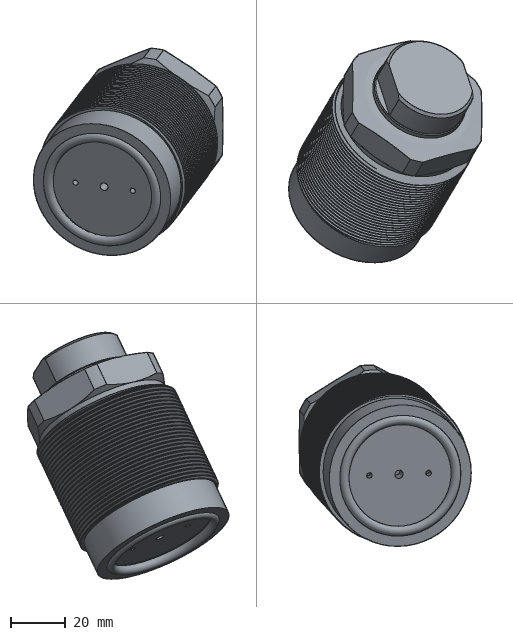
import cadquery as cq
import math


SHOULDER_Y = 12.0
THREAD_END_Y = 52.4
NUT_FRONT_Y = 54.4
NUT_REAR_Y = 66.4

NOSE_RADIUS = 26.35
NECK_RADIUS = 25.0
LEAD_ANGLE = 30.0

THREAD_RADIUS = 27.75
THREAD_PITCH = 1.5
THREAD_DEPTH = 1.0
THREAD_SHIFT = 0.114
FLANK_HALF_ANGLE = 30.0
CUTTER_OVERLAP = 0.05

HEX_ACROSS_FLATS = 50.0
HEX_CORNER_RADIUS = 27.55
HEX_REAR_RADIUS = 20.6
HEX_REAR_ANGLE = 15.0
HEX_FRONT_ANGLE = 30.0

RECESS_RADIUS = 20.2
RECESS_DEPTH = 2.5
RING_SEAT_RADIUS = 22.5
RING_SECTION_RADIUS = 1.765
RING_PROTRUSION = 1.27
RING_RADIUS = RING_SEAT_RADIUS - RING_SECTION_RADIUS
RING_CENTRE_Y = RING_SECTION_RADIUS - RING_PROTRUSION
RING_SEAT_DEPTH = RING_CENTRE_Y + RING_SECTION_RADIUS

CENTRE_HOLE_DIAMETER = 3.0
CENTRE_HOLE_DEPTH = 6.0
SIDE_HOLE_DIAMETER = 2.0
SIDE_HOLE_DEPTH = 4.0
SIDE_HOLE_OFFSET = 11.0

COLLAR_RADIUS = 17.75
COLLAR_LENGTH = 2.0
COLLAR_CHAMFER = 0.4
PLUG_RADIUS = 17.25
PLUG_LENGTH = 11.0
PLUG_CHAMFER = 1.0
PLUG_ACROSS_FLATS = 30.0
PLUG_TURN = 16.5


def slope(angle):
    return math.tan(math.radians(angle))


def turned(points, angle=360):
    """Solid of revolution about the Y axis from (radius, Y) points."""
    return cq.Workplane("XY").polyline(points).close().revolve(angle, (0, 0, 0), (0, 1, 0))


def cylinder(radius, start_y, end_y):
    return turned([(0, start_y), (radius, start_y), (radius, end_y), (0, end_y)])


def thread_groove_turns():
    """Helical V groove as one solid per turn, running past both thread ends."""
    root_radius = THREAD_RADIUS - THREAD_DEPTH
    outer_radius = THREAD_RADIUS + CUTTER_OVERLAP
    outer_half = (outer_radius - root_radius) * slope(FLANK_HALF_ANGLE)
    profile = cq.Workplane("XZ").polyline([
        (root_radius, 0),
        (outer_radius, outer_half),
        (outer_radius, -outer_half),
    ]).close()
    helix = cq.Wire.makeHelix(THREAD_PITCH, THREAD_PITCH, THREAD_RADIUS)
    turn = profile.sweep(cq.Workplane(helix), isFrenet=True).rotate((0, 0, 0), (1, 0, 0), -90).val()

    start_y = SHOULDER_Y + THREAD_SHIFT - THREAD_PITCH
    turn_count = math.ceil((THREAD_END_Y - start_y) / THREAD_PITCH) + 1
    return [turn.translate(cq.Vector(0, start_y + i * THREAD_PITCH, 0)) for i in range(turn_count)]


def threaded_section():
    """Thread blank in two half turns, so that no thread face wraps round the axis, cut by the groove."""
    lead_length = (THREAD_RADIUS - NECK_RADIUS) * slope(LEAD_ANGLE)
    half_blank = turned([
        (0, SHOULDER_Y),
        (THREAD_RADIUS, SHOULDER_Y),
        (THREAD_RADIUS, THREAD_END_Y - lead_length),
        (NECK_RADIUS, THREAD_END_Y),
        (0, THREAD_END_Y),
    ], angle=180).rotate((0, 0, 0), (0, 1, 0), 90)
    other_half = half_blank.rotate((0, 0, 0), (0, 1, 0), 180)
    blank = half_blank.union(other_half, clean=False)
    return cq.Workplane(blank.val().cut(*thread_groove_turns()))


def hexagon():
    """Hexagon with flats facing -X and +X, its corners rounded and coned at both ends."""
    flat_radius = HEX_ACROSS_FLATS / 2
    front_cone = (HEX_CORNER_RADIUS - flat_radius) * slope(HEX_FRONT_ANGLE)
    rear_cone = (HEX_CORNER_RADIUS - HEX_REAR_RADIUS) * slope(HEX_REAR_ANGLE)
    envelope = turned([
        (0, NUT_FRONT_Y),
        (flat_radius, NUT_FRONT_Y),
        (HEX_CORNER_RADIUS, NUT_FRONT_Y + front_cone),
        (HEX_CORNER_RADIUS, NUT_REAR_Y - rear_cone),
        (HEX_REAR_RADIUS, NUT_REAR_Y),
        (0, NUT_REAR_Y),
    ])
    prism = (
        cq.Workplane("XZ", origin=(0, NUT_FRONT_Y, 0))
        .polygon(6, HEX_ACROSS_FLATS, circumscribed=True)
        .extrude(NUT_FRONT_Y - NUT_REAR_Y)
    )
    return envelope.intersect(prism)


def make_housing():
    ring_seat = cylinder(RING_SEAT_RADIUS, 0, RING_SEAT_DEPTH)
    recess = cylinder(RECESS_RADIUS, 0, RECESS_DEPTH)
    centre_hole = cylinder(CENTRE_HOLE_DIAMETER / 2, RECESS_DEPTH, RECESS_DEPTH + CENTRE_HOLE_DEPTH)
    body = (
        threaded_section()
        .union(cylinder(NOSE_RADIUS, 0, SHOULDER_Y), clean=False)
        .union(cylinder(NECK_RADIUS, THREAD_END_Y, NUT_FRONT_Y), clean=False)
        .union(hexagon(), clean=False)
        .cut(ring_seat, clean=False)
        .cut(recess, clean=False)
        .cut(centre_hole, clean=False)
    )
    side_hole = cylinder(SIDE_HOLE_DIAMETER / 2, RECESS_DEPTH, RECESS_DEPTH + SIDE_HOLE_DEPTH)
    for side in (-1, 1):
        body = body.cut(side_hole.translate((side * SIDE_HOLE_OFFSET, 0, 0)), clean=False)
    return body


def make_seal_ring():
    return (
        cq.Workplane("XY")
        .center(RING_RADIUS, RING_CENTRE_Y)
        .circle(RING_SECTION_RADIUS)
        .revolve(360, (-RING_RADIUS, 0, 0), (-RING_RADIUS, 1, 0))
    )


def make_end_plug():
    """Round collar against the hexagon, followed by a round shank with two opposite flats."""
    collar_end = NUT_REAR_Y + COLLAR_LENGTH
    plug_end = collar_end + PLUG_LENGTH
    collar = turned([
        (0, NUT_REAR_Y),
        (COLLAR_RADIUS, NUT_REAR_Y),
        (COLLAR_RADIUS, collar_end - COLLAR_CHAMFER),
        (COLLAR_RADIUS - COLLAR_CHAMFER, collar_end),
        (0, collar_end),
    ])
    shank = turned([
        (0, collar_end),
        (PLUG_RADIUS, collar_end),
        (PLUG_RADIUS, plug_end - PLUG_CHAMFER),
        (PLUG_RADIUS - PLUG_CHAMFER, plug_end),
        (0, plug_end),
    ])
    between_flats = (
        cq.Workplane("XZ", origin=(0, collar_end, 0))
        .rect(PLUG_ACROSS_FLATS, 2 * PLUG_RADIUS)
        .extrude(-PLUG_LENGTH)
        .rotate((0, 0, 0), (0, 1, 0), PLUG_TURN)
    )
    return collar.union(shank.intersect(between_flats))


housing = make_housing()
seal_ring = make_seal_ring()
end_plug = make_end_plug()

result = cq.Compound.makeCompound([housing.val(), seal_ring.val(), end_plug.val()])